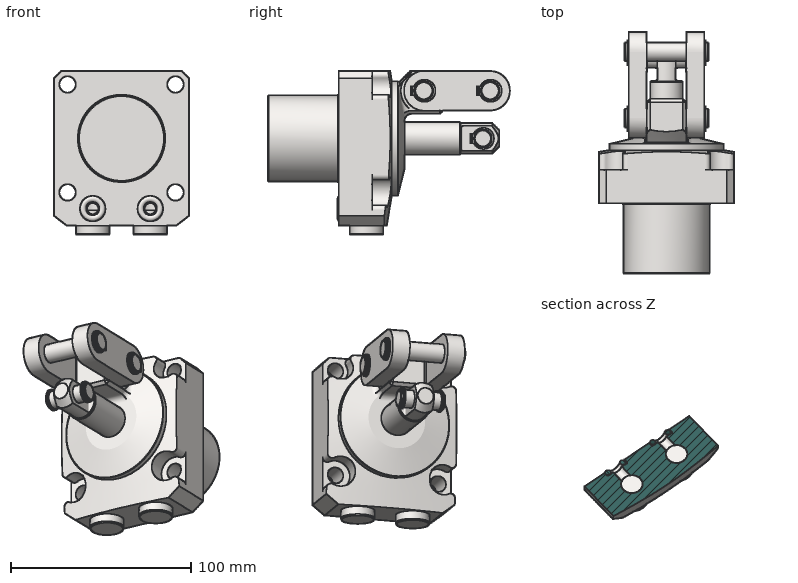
import cadquery as cq
import math


FLANGE_HALF_WIDTH = 37.5
FLANGE_BOTTOM = -48.3
TOP_CHAMFER = 4.0
BOTTOM_CHAMFER_X = 7.0
BOTTOM_CHAMFER_Z = 5.4
FLANGE_BACK = 29.5
BACK_SLOPE = math.tan(math.radians(9.5))

BOLT_OFFSET = 30.0
BOLT_HOLE_DIAMETER = 9.0
RECESS_FLOOR = 18.5
UPPER_RECESS_RADIUS = 7.1
LOWER_RECESS_RADIUS = 8.3
RECESS_LIP_RADIUS = 2.5

BARREL_RADIUS = 24.0
BARREL_LENGTH = 39.2
BARREL_CHAMFER = 0.5
BARREL_COLLAR_RADIUS = 24.3
BARREL_COLLAR_LENGTH = 0.4

PAD_RADIUS = 31.8
PAD_EDGE = 32.9
PAD_TOP_RADIUS = 16.5
PAD_TOP = 36.7

LUG_HALF_WIDTH = 10.9
LUG_BOTTOM = 13.5
LUG_TOP = FLANGE_HALF_WIDTH
LUG_END = 58.0
LUG_CHAMFER = 1.9
LUG_FOOT_RADIUS = 31.5
LUG_FOOT = 33.8
LUG_ROOT_FILLET = 3.6
SELECT_MARGIN = 0.1
PLATE_CLEARANCE_RADIUS = 12.8

PORT_X = 16.0
PORT_Z = -39.0
PLUG_Y = 15.5
PLUG_HEAD_RADIUS = 9.4
PLUG_BOTTOM = -53.6
PLUG_CHAMFER_RADIAL = 0.4
PLUG_CHAMFER_AXIAL = 0.8
PLUG_SHANK_RADIUS = 5.9
PLUG_SHANK_TOP = -39.8
PORT_CAVITY_TOP = -34.9
PASSAGE_RADIUS = 3.1

RING_CORD_RADIUS = 3.4 / 2
RING_MEAN_RADIUS = 5.4
RING_PROTRUSION = 0.7
SEAT_RADIUS = 7.1
SEAT_DEPTH = 2 * RING_CORD_RADIUS - RING_PROTRUSION

ROD_RADIUS = 9.1
ROD_SHOULDER = 68.1
ROD_CHAMFER = 1.0
TIP_RADIUS = 8.6
TIP_END = 89.2
TIP_CHAMFER = 4.0
TIP_HALF_THICKNESS = 5.1
TIP_ROOT_RADIUS = 1.0
ROD_PIN_Y = 80.0
ROD_PIN_RADIUS = 5.0
ROD_PIN_HALF_LENGTH = 13.0

PLATE_INNER_X = 11.0
PLATE_OUTER_X = 21.0
PLATE_END_RADIUS = 11.0
LINK_Z = LUG_TOP - PLATE_END_RADIUS
PIVOT_PIN_Y = 47.3
LEVER_PIN_Y = 84.1
LINK_PIN_RADIUS = 5.2
LINK_PIN_HALF_LENGTH = 23.4

PIN_CHAMFER = 0.5
CLIP_THICKNESS = 1.0
CLIP_INSET = LINK_PIN_HALF_LENGTH - PLATE_OUTER_X - CLIP_THICKNESS
CLIP_WALL = 1.0
CLIP_OFFSET = 0.3
CLIP_LUG_REACH = 2.1
CLIP_LUG_HEIGHT = 2.1
CLIP_GAP = 0.8
CLIP_HOLE_DIAMETER = 1.0
CLIP_HOLE_INSET = 0.8
CLIP_HOLE_Z = 1.5


def cylinder(radius, start, direction, length):
    return cq.Workplane(cq.Solid.makeCylinder(radius, length, cq.Vector(*start), cq.Vector(*direction)))


def revolve_about_y(points):
    """Turn an outline of (radius, y) points about the Y axis."""
    return cq.Workplane("XY").polyline(points).close().revolve(360, (0, 0, 0), (0, 1, 0))


def extrude_along_y(outline, start, end):
    """Extrude an XZ outline from y = start to y = end; "XZ" has its normal along -Y."""
    return outline.extrude(start - end).translate((0, start, 0))


def make_flange():
    width = FLANGE_HALF_WIDTH
    right_half = [
        (width - TOP_CHAMFER, width),
        (width, width - TOP_CHAMFER),
        (width, FLANGE_BOTTOM + BOTTOM_CHAMFER_Z),
        (width - BOTTOM_CHAMFER_X, FLANGE_BOTTOM),
    ]
    left_half = [(-x, z) for x, z in reversed(right_half)]
    plate = extrude_along_y(cq.Workplane("XZ").polyline(right_half + left_half).close(), 0, FLANGE_BACK)

    reach = math.hypot(width, FLANGE_BOTTOM)
    rim_y = FLANGE_BACK - (reach - PAD_RADIUS) * BACK_SLOPE
    envelope = revolve_about_y([
        (0, 0),
        (reach, 0),
        (reach, rim_y),
        (PAD_RADIUS, FLANGE_BACK),
        (0, FLANGE_BACK),
    ])
    return plate.intersect(envelope)


def recess_lip(radius):
    """Points where a recess wall of this radius rounds out to the flange side, about the bolt hole.

    Returns the end on the side face, the middle of the lip arc and its start on the round wall.
    """
    exit_x = FLANGE_HALF_WIDTH - BOLT_OFFSET
    span = radius + RECESS_LIP_RADIUS
    lip_x = exit_x - RECESS_LIP_RADIUS
    lip_z = math.sqrt(span**2 - lip_x**2)
    middle_angle = (math.atan2(lip_z, lip_x) - math.pi) / 2
    middle = (
        lip_x + RECESS_LIP_RADIUS * math.cos(middle_angle),
        lip_z + RECESS_LIP_RADIUS * math.sin(middle_angle),
    )
    return (exit_x, lip_z), middle, (lip_x * radius / span, lip_z * radius / span)


def make_upper_recess():
    """Recess of the +X top corner, open through the top and the side."""
    side, middle, wall = recess_lip(UPPER_RECESS_RADIUS)
    inner = -UPPER_RECESS_RADIUS / math.sqrt(2)
    outside = FLANGE_HALF_WIDTH
    outline = (
        cq.Workplane("XZ")
        .moveTo(outside, -side[1])
        .lineTo(side[0], -side[1])
        .threePointArc((middle[0], -middle[1]), (wall[0], -wall[1]))
        .threePointArc((inner, inner), (-wall[1], wall[0]))
        .threePointArc((-middle[1], middle[0]), (-side[1], side[0]))
        .lineTo(-side[1], outside)
        .lineTo(outside, outside)
        .close()
    )
    return extrude_along_y(outline, RECESS_FLOOR, FLANGE_BACK).translate((BOLT_OFFSET, 0, BOLT_OFFSET))


def make_lower_recess():
    """Recess of the +X lower bolt hole, open through the side only."""
    side, middle, wall = recess_lip(LOWER_RECESS_RADIUS)
    outside = FLANGE_HALF_WIDTH
    outline = (
        cq.Workplane("XZ")
        .moveTo(outside, -side[1])
        .lineTo(side[0], -side[1])
        .threePointArc((middle[0], -middle[1]), (wall[0], -wall[1]))
        .threePointArc((-LOWER_RECESS_RADIUS, 0), wall)
        .threePointArc(middle, side)
        .lineTo(outside, side[1])
        .close()
    )
    return extrude_along_y(outline, RECESS_FLOOR, FLANGE_BACK).translate((BOLT_OFFSET, 0, -BOLT_OFFSET))


def cut_bolt_features(body):
    for recess in (make_upper_recess(), make_lower_recess()):
        body = body.cut(recess).cut(recess.mirror("YZ"))
    for x in (-BOLT_OFFSET, BOLT_OFFSET):
        for z in (-BOLT_OFFSET, BOLT_OFFSET):
            body = body.cut(cylinder(BOLT_HOLE_DIAMETER / 2, (x, 0, z), (0, 1, 0), FLANGE_BACK))
    return body


def make_barrel():
    return revolve_about_y([
        (0, 0),
        (BARREL_COLLAR_RADIUS, 0),
        (BARREL_COLLAR_RADIUS, -BARREL_COLLAR_LENGTH),
        (BARREL_RADIUS, -BARREL_COLLAR_LENGTH),
        (BARREL_RADIUS, BARREL_CHAMFER - BARREL_LENGTH),
        (BARREL_RADIUS - BARREL_CHAMFER, -BARREL_LENGTH),
        (0, -BARREL_LENGTH),
    ])


def make_lug_block():
    """Square block with its long edges and its end face chamfered."""
    length = LUG_END - FLANGE_BACK
    return (
        cq.Workplane("XY")
        .box(2 * LUG_HALF_WIDTH, length, LUG_TOP - LUG_BOTTOM, centered=(True, False, False))
        .translate((0, FLANGE_BACK, LUG_BOTTOM))
        .edges("|Y or >Y")
        .chamfer(LUG_CHAMFER)
    )


def make_pad_and_lug():
    """Conical pad with the lug filleted onto it, both trimmed at the pad edge.

    The cone first runs on past the lug, so that the root fillet has a face to end on.
    """
    cone_slope = (PAD_TOP - PAD_EDGE) / (PAD_RADIUS - PAD_TOP_RADIUS)
    wide_radius = PAD_TOP_RADIUS + (PAD_TOP - FLANGE_BACK) / cone_slope
    wide_pad = revolve_about_y([
        (0, FLANGE_BACK),
        (wide_radius, FLANGE_BACK),
        (PAD_TOP_RADIUS, PAD_TOP),
        (0, PAD_TOP),
    ])

    root = cq.selectors.BoxSelector(
        (-LUG_HALF_WIDTH - SELECT_MARGIN, FLANGE_BACK + SELECT_MARGIN, LUG_BOTTOM - SELECT_MARGIN),
        (LUG_HALF_WIDTH + SELECT_MARGIN, PAD_TOP + SELECT_MARGIN, LUG_TOP - LUG_CHAMFER),
    )
    pad = wide_pad.union(make_lug_block()).edges(root).fillet(LUG_ROOT_FILLET)

    envelope = revolve_about_y([
        (0, FLANGE_BACK),
        (PAD_RADIUS, FLANGE_BACK),
        (PAD_RADIUS, PAD_EDGE),
        (LUG_FOOT_RADIUS, PAD_EDGE),
        (LUG_FOOT_RADIUS, LUG_FOOT),
        (LUG_FOOT_RADIUS + LUG_END - LUG_FOOT, LUG_END),
        (0, LUG_END),
    ])
    pivot_hole = cylinder(
        LINK_PIN_RADIUS, (-LUG_HALF_WIDTH, PIVOT_PIN_Y, LINK_Z), (1, 0, 0), 2 * LUG_HALF_WIDTH
    )
    pad = pad.intersect(envelope).cut(pivot_hole)

    for side in (-1, 1):
        start = (side * LUG_HALF_WIDTH, PIVOT_PIN_Y, LINK_Z)
        depth = PLATE_OUTER_X - LUG_HALF_WIDTH
        pad = pad.cut(cylinder(PLATE_CLEARANCE_RADIUS, start, (side, 0, 0), depth))
    return pad


def add_port(body, x):
    """Plugged bottom port, joined by a passage to an O-ring seat in the mounting face."""
    seat = cylinder(SEAT_RADIUS, (x, 0, PORT_Z), (0, 1, 0), SEAT_DEPTH)
    passage = cylinder(PASSAGE_RADIUS, (x, 0, PORT_Z), (0, 1, 0), PLUG_Y)
    cavity = cylinder(
        PLUG_SHANK_RADIUS, (x, PLUG_Y, PLUG_SHANK_TOP), (0, 0, 1), PORT_CAVITY_TOP - PLUG_SHANK_TOP
    )
    shank = cylinder(
        PLUG_SHANK_RADIUS, (x, PLUG_Y, FLANGE_BOTTOM), (0, 0, 1), PLUG_SHANK_TOP - FLANGE_BOTTOM
    )
    head = (
        cylinder(PLUG_HEAD_RADIUS, (x, PLUG_Y, PLUG_BOTTOM), (0, 0, 1), FLANGE_BOTTOM - PLUG_BOTTOM)
        .faces("<Z")
        .chamfer(PLUG_CHAMFER_AXIAL, PLUG_CHAMFER_RADIAL)
    )
    return body.cut(seat).cut(passage).cut(cavity).union(shank).union(head)


def make_rod():
    """Piston rod with a tip that has two flats, square to X."""
    shaft = revolve_about_y([
        (0, PAD_EDGE),
        (ROD_RADIUS, PAD_EDGE),
        (ROD_RADIUS, ROD_SHOULDER - ROD_CHAMFER),
        (ROD_RADIUS - ROD_CHAMFER, ROD_SHOULDER),
        (0, ROD_SHOULDER),
    ])
    tip = revolve_about_y([
        (0, PAD_EDGE),
        (TIP_RADIUS, PAD_EDGE),
        (TIP_RADIUS, TIP_END - TIP_CHAMFER),
        (TIP_RADIUS - TIP_CHAMFER, TIP_END),
        (0, TIP_END),
    ])
    flat_height = 2 * TIP_RADIUS
    flat_length = TIP_END - ROD_SHOULDER
    for side in (-1, 1):
        flat = (
            cq.Workplane("XY")
            .box(TIP_RADIUS, flat_length, flat_height, centered=(True, False, True))
            .translate((side * (TIP_HALF_THICKNESS + TIP_RADIUS / 2), ROD_SHOULDER, 0))
            .edges("<Y and " + ("<X" if side > 0 else ">X"))
            .fillet(TIP_ROOT_RADIUS)
        )
        tip = tip.cut(flat)
    return shaft.union(tip)


def make_clip(pin_radius, outer_x):
    """Open retaining ring about the X axis, with two lugs at its gap on the -Y side."""
    outer_radius = pin_radius + CLIP_WALL
    lug_tip = pin_radius + CLIP_LUG_REACH
    inner_x = outer_x - CLIP_THICKNESS
    clip = cylinder(outer_radius, (inner_x, CLIP_OFFSET, 0), (1, 0, 0), CLIP_THICKNESS)
    lugs_height = 2 * CLIP_LUG_HEIGHT + CLIP_GAP
    lugs = cq.Workplane("XY").box(CLIP_THICKNESS, lug_tip, lugs_height, centered=(False, False, True))
    gap = cq.Workplane("XY").box(CLIP_THICKNESS, lug_tip, CLIP_GAP, centered=(False, False, True))
    place = (inner_x, -lug_tip, 0)
    clip = clip.union(lugs.translate(place)).cut(gap.translate(place))
    for z in (-CLIP_HOLE_Z, CLIP_HOLE_Z):
        start = (inner_x, CLIP_HOLE_INSET - lug_tip, z)
        clip = clip.cut(cylinder(CLIP_HOLE_DIAMETER / 2, start, (1, 0, 0), CLIP_THICKNESS))
    return clip


def make_pin(radius, half_length, y, z):
    """Chamfered pin along X with a clip near each end."""
    pin = cylinder(radius, (-half_length, 0, 0), (1, 0, 0), 2 * half_length)
    pin = pin.faces("<X or >X").chamfer(PIN_CHAMFER)
    clip = make_clip(radius, half_length - CLIP_INSET)
    return pin.union(clip).union(clip.mirror("YZ")).translate((0, y, z))


def make_housing():
    """Clamp body, in one piece with its rod and rod pin."""
    body = make_flange()
    body = cut_bolt_features(body)
    body = body.union(make_barrel())
    body = body.union(make_pad_and_lug())
    for x in (-PORT_X, PORT_X):
        body = add_port(body, x)
    rod_pin = make_pin(ROD_PIN_RADIUS, ROD_PIN_HALF_LENGTH, ROD_PIN_Y, 0)
    return body.union(make_rod()).union(rod_pin)


def make_link():
    """Two round-ended plates joined by the pivot pin and the lever pin."""
    thickness = PLATE_OUTER_X - PLATE_INNER_X
    plate = (
        cq.Workplane("YZ")
        .center((PIVOT_PIN_Y + LEVER_PIN_Y) / 2, LINK_Z)
        .slot2D(LEVER_PIN_Y - PIVOT_PIN_Y + 2 * PLATE_END_RADIUS, 2 * PLATE_END_RADIUS)
        .extrude(thickness)
        .translate((PLATE_INNER_X, 0, 0))
    )
    link = plate.union(plate.mirror("YZ"))
    for pin_y in (PIVOT_PIN_Y, LEVER_PIN_Y):
        link = link.union(make_pin(LINK_PIN_RADIUS, LINK_PIN_HALF_LENGTH, pin_y, LINK_Z))
    return link


def make_o_ring(x):
    """O-ring standing slightly proud of the mounting face."""
    centre = cq.Vector(x, RING_CORD_RADIUS - RING_PROTRUSION, PORT_Z)
    return cq.Solid.makeTorus(RING_MEAN_RADIUS, RING_CORD_RADIUS, centre, cq.Vector(0, 1, 0))


housing = make_housing()
link = make_link()
o_rings = [make_o_ring(x) for x in (-PORT_X, PORT_X)]

result = cq.Compound.makeCompound([housing.val(), link.val(), *o_rings])